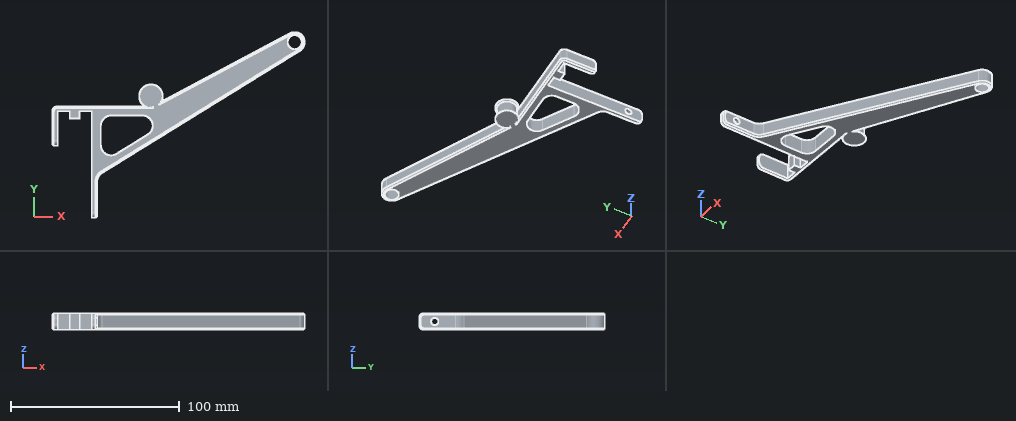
import cadquery as cq
import math

height = 10.0
edge_chamfer = 1.0

wall = 3.3
rail_wall = 3.0
channel_width = 20.0
hook_length = 23.5
leg_end_y = -66.1
tip_radius = 3.0
hook_corner_radius = 3.0
leg_x = wall + channel_width
leg_outer_x = leg_x + wall

tab_width = 6.0
tab_depth = 4.3

eye_x = 143.5
eye_y = 38.0
eye_radius = 6.0
eye_hole_diameter = 8.2
upper_angle = math.radians(28.0)
lower_angle = math.radians(31.7)
arm_leg_fillet = 6.0

window_wall = 5.5
window_lower_wall = 5.2
window_radius = 6.0

peg_x = 58.5
peg_y = 6.0
peg_radius = 7.0

leg_hole_diameter = 4.2
leg_hole_y = -56.8


def lower_edge_y(x, inset=0.0):
    """Height in Y of the arm's lower edge at x, moved into the arm by inset."""
    rise = (x - eye_x) * math.tan(lower_angle)
    return eye_y + rise - (eye_radius - inset) / math.cos(lower_angle)


def eye_point(angle):
    return (eye_x + eye_radius * math.cos(angle), eye_y + eye_radius * math.sin(angle))


def make_frame():
    """Hook, rail, arm and leg with rounded tips and a chamfered outer border."""
    upper_tangent = eye_point(upper_angle + math.pi / 2)
    lower_tangent = eye_point(lower_angle - math.pi / 2)
    arm_root_x = upper_tangent[0] - upper_tangent[1] / math.tan(upper_angle)
    leg_corner_y = lower_edge_y(leg_outer_x)
    frame = (
        cq.Workplane("XY")
        .moveTo(0, -hook_length)
        .lineTo(0, 0)
        .lineTo(arm_root_x, 0)
        .lineTo(*upper_tangent)
        .threePointArc(eye_point((upper_angle + lower_angle) / 2), lower_tangent)
        .lineTo(leg_outer_x, leg_corner_y)
        .lineTo(leg_outer_x, leg_end_y)
        .lineTo(leg_x, leg_end_y)
        .lineTo(leg_x, -rail_wall)
        .lineTo(wall, -rail_wall)
        .lineTo(wall, -hook_length)
        .close()
        .extrude(height)
    )
    mid_z = height / 2
    hook_corner = cq.NearestToPointSelector((0, 0, mid_z))
    frame = frame.edges(hook_corner).fillet(hook_corner_radius)
    leg_corner = cq.NearestToPointSelector((leg_outer_x, leg_corner_y, mid_z))
    frame = frame.edges(leg_corner).fillet(arm_leg_fillet)
    for tip_x, tip_y in ((wall / 2, -hook_length), (leg_x + wall / 2, leg_end_y)):
        for tip_z in (0, height):
            tip_edge = cq.NearestToPointSelector((tip_x, tip_y, tip_z))
            frame = frame.edges(tip_edge).fillet(tip_radius)

    rail_edge = cq.NearestToPointSelector((arm_root_x / 2, 0, height))
    arm_middle_x = (arm_root_x + upper_tangent[0]) / 2
    arm_edge = cq.NearestToPointSelector((arm_middle_x, upper_tangent[1] / 2, height))
    border = frame.edges(rail_edge).add(frame.edges(arm_edge))
    return border.chamfer(edge_chamfer)


def make_window():
    left = leg_x + window_wall
    top = -window_wall
    lower_left_y = lower_edge_y(left, window_lower_wall)
    right = left + (top - lower_left_y) / math.tan(lower_angle)
    return (
        cq.Workplane("XY")
        .polyline([(left, top), (right, top), (left, lower_left_y)])
        .close()
        .extrude(height)
        .edges("|Z")
        .fillet(window_radius)
    )


def make_peg():
    """Peg with a sharp-rimmed flange at each end, tapering inward to the shank."""
    shank_radius = peg_radius - edge_chamfer
    return (
        cq.Workplane("XZ")
        .polyline([
            (0, 0),
            (peg_radius, 0),
            (shank_radius, edge_chamfer),
            (shank_radius, height - edge_chamfer),
            (peg_radius, height),
            (0, height),
        ])
        .close()
        .revolve(360, (0, 0), (0, 1))
        .translate((peg_x, peg_y, 0))
    )


def make_tab():
    return (
        cq.Workplane("XY")
        .center(wall + channel_width / 2, -rail_wall - tab_depth / 2)
        .rect(tab_width, tab_depth)
        .extrude(height)
    )


eye_hole = cq.Workplane("XY").center(eye_x, eye_y).circle(eye_hole_diameter / 2).extrude(height)
leg_hole = (
    cq.Workplane("YZ", origin=(leg_x, leg_hole_y, height / 2))
    .circle(leg_hole_diameter / 2)
    .extrude(wall)
)

result = make_frame().union(make_tab()).union(make_peg())
result = result.cut(make_window()).cut(eye_hole).cut(leg_hole)